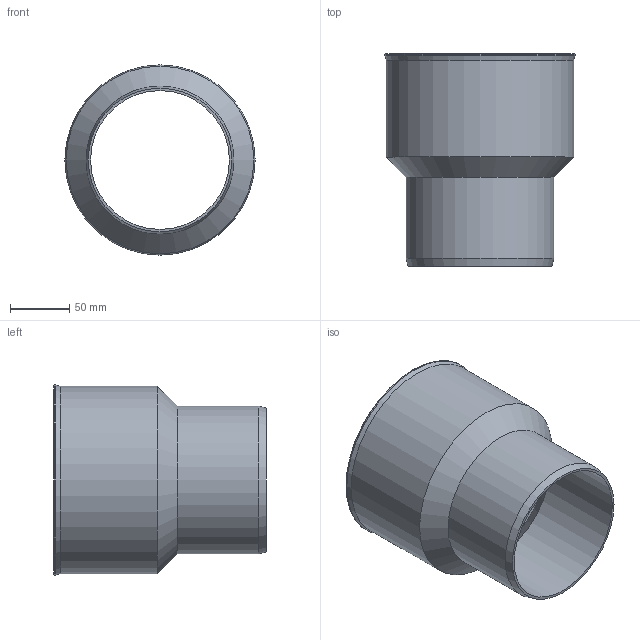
import cadquery as cq
import math

overall_length = 180.0
wall = 3.9

large_radius = 158.8 / 2
large_length = 87.5
rim_radius = 161.0 / 2
rim_length = 5.5
rim_band_length = 1.5
rim_bevel_depth = 0.5
rim_bevel_length = 0.7

small_radius = 125.2 / 2
small_length = 75.2
lead_in_length = 6.8
lead_in_angle = 15.0
lead_in_depth = lead_in_length * math.tan(math.radians(lead_in_angle))

large_bore_radius = large_radius - wall
small_bore_radius = small_radius - wall
large_barrel_y = overall_length - large_length


def wall_section():
    """Half section of the wall in the XY plane, each point given as (radius, Y)."""
    outside = [
        (small_radius - lead_in_depth, 0),
        (small_radius, lead_in_length),
        (small_radius, small_length),
        (large_radius, large_barrel_y),
        (large_radius, overall_length - rim_length),
        (rim_radius, overall_length - rim_band_length),
        (rim_radius, overall_length - rim_bevel_length),
        (rim_radius - rim_bevel_depth, overall_length),
    ]
    inside = [
        (large_bore_radius, overall_length),
        (large_bore_radius, large_barrel_y),
        (small_bore_radius, small_length),
        (small_bore_radius, 0),
    ]
    return cq.Workplane("XY").polyline(outside + inside).close()


result = wall_section().revolve(360, (0, 0, 0), (0, 1, 0))